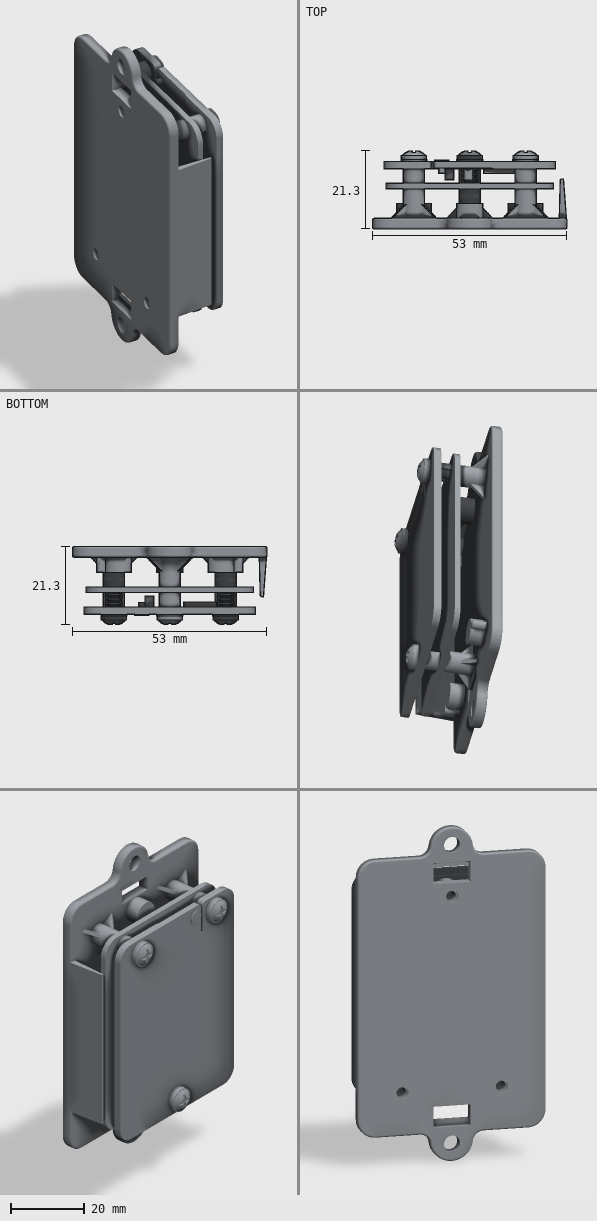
import cadquery as cq
import math

BASE_THICK = 3.0
BOARD_Y = 11.0
BOARD_THICK = 1.6
BOARD_TOP = BOARD_Y + BOARD_THICK
COVER_Y = 16.45
COVER_THICK = 2.1
COVER_TOP = COVER_Y + COVER_THICK
STACK_TOP = 21.3

ROOT_DEPTH = 0.6
ROOT_Y = BASE_THICK - ROOT_DEPTH

LENGTH = 94.0
BASE_W = 53.0
BASE_H = 78.0
BASE_CORNER_R = 5.0
BASE_ROUND = 0.6
TAB_R = 6.0
TAB_BLEND_R = 3.0
TAB_HOLE_D = 4.5
TAB_HOLE_Z = 42.0

WINDOW_W = 10.5
WINDOW_INNER_Z = 31.3
WINDOW_OUTER_Z = 37.2
LEDGE_W = 1.7
LEDGE_THICK = 1.0

BOARD_W = 45.8
BOARD_H = 61.0
BOARD_CORNER_R = 5.0
COVER_W = 46.8
COVER_H = 62.0
COVER_CORNER_R = 4.4

POST_X = 15.2
POST_Z = 26.7
POSTS = [(-POST_X, POST_Z, -1), (POST_X, POST_Z, -1), (0, -POST_Z, 1)]
POST_R = 2.9
RIB_COUNT = 3
RIB_REACH = 7.0
RIB_RISE = 4.0
RIB_ROOT = 2.4
RIB_THICK = 0.9
RIB_FILLET = 0.4
SPACER_BORE_R = 2.3
SPACER_CUT = 0.5

THREAD_CREST_R = 1.9
THREAD_ROOT_R = 1.3
THREAD_PITCH = 1.2
WASHER_R = 3.6
WASHER_THICK = 0.5
HEAD_R = 3.5
HEAD_RIM = 1.1
DOME_FOOT_R = 3.2
DOME_R = 4.4
HEAD_FLAT_R = 1.4
RECESS_W = 0.8
RECESS_L = 5.3
RECESS_DEPTH = 0.4

BOSSES = [(0, 27.45), (-14.0, -26.9), (14.0, -26.9)]
BOSS_R = 3.6
BOSS_TOP = 7.05
BOSS_MOUTH_R = 1.7
BOSS_MOUTH_DEPTH = 0.9
BOSS_BORE_R = 1.4
BOSS_BORE_DEPTH = 5.6
PEG_X = 18.7
PEG_Z = -28.2
PEG_R = 1.2

WALL_TOP_Z = 22.4
WALL_BOTTOM_Z = -25.3
WALL_CREST_Y = 13.7
WALL_FOOT = (24.3, 26.4)
WALL_CREST = (24.6, 25.6)
WALL_ROUND = 0.6

POCKET_LEFT = -9.8
POCKET_RIGHT = 6.4
POCKET_SLOPE = 0.6
POCKET_DEPTH = 0.3
SLIT_W = 0.75
SLIT_MOUTH_R = 1.1
SLIT_LENGTH = 9.4
PAD_X = (3.8, 12.7)
PAD_Z = (3.8, 17.8)
PAD_THICK = 1.3
PAD_CORNER_R = 1.6
PIN_R = 1.2
PIN_Z = 2.8
PIN_X = [-5.5, -0.4]
PIN_LENGTH = 3.0
BUTTON_X = -7.6
BUTTON_Z = 27.6
BUTTON_R = 2.0
BUTTON_RISE = 0.3
STEM_R = 0.8
STEM_LENGTH = 1.2


def plane_at(y):
    """Sketch plane facing +Y; its local axes are (-X, Z)."""
    return cq.Workplane(cq.Plane(origin=(0, y, 0), xDir=(-1, 0, 0), normal=(0, 1, 0)))


def box(x0, x1, y0, y1, z0, z1):
    return cq.Workplane("XY").box(x1 - x0, y1 - y0, z1 - z0, centered=False).translate((x0, y0, z0))


def disc(x, z, radius, y0, y1):
    return plane_at(y0).center(-x, z).circle(radius).extrude(y1 - y0)


def rounded_plate(width, height, corner_r, y, thick):
    return plane_at(y).rect(width, height).extrude(thick).edges("|Y").fillet(corner_r)


def tab(side):
    """Rounded tab joined to the plate edge by a concave blend on each flank."""
    edge = BASE_H / 2
    centre = LENGTH / 2 - TAB_R
    blend_z = edge + TAB_BLEND_R
    blend_x = math.sqrt((TAB_R + TAB_BLEND_R) ** 2 - (blend_z - centre) ** 2)
    share = TAB_R / (TAB_R + TAB_BLEND_R)
    touch_x = blend_x * share
    touch_z = centre + (blend_z - centre) * share
    start = edge - BASE_CORNER_R
    return (
        plane_at(0)
        .moveTo(-blend_x, side * start)
        .lineTo(-blend_x, side * edge)
        .radiusArc((-touch_x, side * touch_z), -side * TAB_BLEND_R)
        .threePointArc((0, side * LENGTH / 2), (touch_x, side * touch_z))
        .radiusArc((blend_x, side * edge), -side * TAB_BLEND_R)
        .lineTo(blend_x, side * start)
        .close()
        .extrude(BASE_THICK)
    )


def base_plate():
    plate = rounded_plate(BASE_W, BASE_H, BASE_CORNER_R, 0, BASE_THICK)
    plate = plate.union(tab(1)).union(tab(-1)).clean()
    plate = plate.faces("<Y or >Y").edges().fillet(BASE_ROUND)
    half = WINDOW_W / 2
    for side in (1, -1):
        plate = plate.cut(disc(0, side * TAB_HOLE_Z, TAB_HOLE_D / 2, 0, BASE_THICK))
        through = sorted((side * WINDOW_INNER_Z, side * (WINDOW_OUTER_Z - LEDGE_W)))
        recess = sorted((side * WINDOW_INNER_Z, side * WINDOW_OUTER_Z))
        plate = plate.cut(box(-half, half, 0, BASE_THICK, *through))
        plate = plate.cut(box(-half, half, 0, BASE_THICK - LEDGE_THICK, *recess))
    return plate


def rib(angle):
    """Triangular rib running out from a post axis; angle is measured from +Z about Y."""
    top = BASE_THICK + RIB_RISE
    profile = [(0, ROOT_Y), (RIB_REACH, ROOT_Y), (RIB_REACH, BASE_THICK), (RIB_ROOT, top), (0, top)]
    sketch = cq.Workplane(cq.Plane(origin=(0, 0, 0), xDir=(0, 0, 1), normal=(-1, 0, 0)))
    solid = sketch.polyline(profile).close().extrude(RIB_THICK / 2, both=True)
    return solid.rotate((0, 0, 0), (0, 1, 0), angle)


def standoff(x, z, inward):
    """Post with filleted ribs up to the board, then a spacer open towards the middle of the part."""
    post = disc(0, 0, POST_R, ROOT_Y, BOARD_Y)
    first = 0 if inward > 0 else 180
    for index in range(RIB_COUNT):
        post = post.union(rib(first + index * 360 / RIB_COUNT))
    rib_top = BASE_THICK + RIB_RISE
    near_post = cq.selectors.BoxSelector((-POST_R, BASE_THICK, -POST_R), (POST_R, rib_top, POST_R))
    post = post.edges(near_post).edges("|Y").fillet(RIB_FILLET)
    spacer = disc(0, 0, POST_R, BOARD_TOP, COVER_Y).cut(disc(0, 0, SPACER_BORE_R, BOARD_TOP, COVER_Y))
    opening = sorted((inward * SPACER_CUT, inward * 2 * POST_R))
    spacer = spacer.cut(box(-POST_R, POST_R, BOARD_TOP, COVER_Y, *opening))
    return post.union(spacer).translate((x, 0, z))


def screw(x, z):
    """Pan-head screw with washer, cross recess and thread ridges in the spacer gap."""
    ridges = math.floor((COVER_Y - BOARD_TOP) / THREAD_PITCH)
    rim_y = COVER_TOP + WASHER_THICK
    dome_y = rim_y + HEAD_RIM
    outline = cq.Workplane("XY").moveTo(0, BOARD_Y).lineTo(THREAD_ROOT_R, BOARD_Y)
    outline = outline.lineTo(THREAD_ROOT_R, COVER_Y - ridges * THREAD_PITCH)
    for step in range(ridges, 0, -1):
        y = COVER_Y - step * THREAD_PITCH
        outline = outline.lineTo(THREAD_CREST_R, y + THREAD_PITCH / 2)
        outline = outline.lineTo(THREAD_ROOT_R, y + THREAD_PITCH)
    body = (
        outline.lineTo(THREAD_ROOT_R, COVER_TOP)
        .lineTo(WASHER_R, COVER_TOP)
        .lineTo(WASHER_R, rim_y)
        .lineTo(HEAD_R, rim_y)
        .lineTo(HEAD_R, dome_y)
        .lineTo(DOME_FOOT_R, dome_y)
        .radiusArc((HEAD_FLAT_R, STACK_TOP), -DOME_R)
        .lineTo(0, STACK_TOP)
        .close()
        .revolve(360, (0, 0, 0), (0, 1, 0))
    )
    for width, length in ((RECESS_W, RECESS_L), (RECESS_L, RECESS_W)):
        body = body.cut(plane_at(STACK_TOP - RECESS_DEPTH).rect(width, length).extrude(RECESS_DEPTH))
    return body.translate((x, 0, z))


def side_wall():
    """Wall tapering towards its crest, with rounded inner edges."""
    profile = [
        (WALL_FOOT[0], ROOT_Y),
        (WALL_FOOT[1], ROOT_Y),
        (WALL_CREST[1], WALL_CREST_Y),
        (WALL_CREST[0], WALL_CREST_Y),
    ]
    wall = cq.Workplane("XY").polyline(profile).close().extrude(WALL_TOP_Z - WALL_BOTTOM_Z)
    inner = wall.faces("<X").edges("not <Y")
    return inner.fillet(WALL_ROUND).translate((0, 0, WALL_BOTTOM_Z))


def cover():
    """Rear cover with a shallow slope-ended pocket and a slit, both open at the top edge."""
    plate = rounded_plate(COVER_W, COVER_H, COVER_CORNER_R, COVER_Y, COVER_THICK)
    top = COVER_H / 2
    bottom = top - SLIT_LENGTH
    floor = COVER_Y + POCKET_DEPTH
    section = [
        (POCKET_LEFT, COVER_Y),
        (POCKET_RIGHT, COVER_Y),
        (POCKET_RIGHT - POCKET_SLOPE, floor),
        (POCKET_LEFT, floor),
    ]
    pocket = cq.Workplane("XY").workplane(offset=bottom).polyline(section).close().extrude(SLIT_LENGTH)
    plate = plate.cut(pocket)
    slit_left = POCKET_LEFT - SLIT_W
    slit = box(slit_left, POCKET_LEFT, COVER_Y, COVER_TOP, bottom, top)
    mouth_z = top - SLIT_MOUTH_R
    mouth_x = (slit_left - SLIT_MOUTH_R, POCKET_LEFT + SLIT_MOUTH_R)
    slit = slit.union(box(*mouth_x, COVER_Y, COVER_TOP, mouth_z, top))
    for x in mouth_x:
        slit = slit.cut(disc(x, mouth_z, SLIT_MOUTH_R, COVER_Y, COVER_TOP))
    return plate.cut(slit)


def cover_fittings():
    """Rounded pad and pins on the inner face, and a push button through the cover."""
    fittings = box(*PAD_X, COVER_Y - PAD_THICK, COVER_Y, *PAD_Z).edges("|Y").fillet(PAD_CORNER_R)
    for x in PIN_X:
        fittings = fittings.union(disc(x, PIN_Z, PIN_R, COVER_Y - PIN_LENGTH, COVER_Y))
    fittings = fittings.union(disc(BUTTON_X, BUTTON_Z, STEM_R, COVER_Y - STEM_LENGTH, COVER_TOP))
    return fittings.union(disc(BUTTON_X, BUTTON_Z, BUTTON_R, COVER_TOP, COVER_TOP + BUTTON_RISE))


result = base_plate().union(side_wall())
result = result.union(rounded_plate(BOARD_W, BOARD_H, BOARD_CORNER_R, BOARD_Y, BOARD_THICK))
result = result.union(cover()).union(cover_fittings())

for post_x, post_z, inward in POSTS:
    result = result.union(standoff(post_x, post_z, inward))
    result = result.union(screw(post_x, post_z))

for boss_x, boss_z in BOSSES:
    result = result.union(disc(boss_x, boss_z, BOSS_R, ROOT_Y, BOSS_TOP))
for peg_x in (-PEG_X, PEG_X):
    result = result.union(disc(peg_x, PEG_Z, PEG_R, ROOT_Y, BOSS_TOP))
for boss_x, boss_z in BOSSES:
    result = result.cut(disc(boss_x, boss_z, BOSS_MOUTH_R, 0, BOSS_MOUTH_DEPTH))
    result = result.cut(disc(boss_x, boss_z, BOSS_BORE_R, 0, BOSS_BORE_DEPTH))